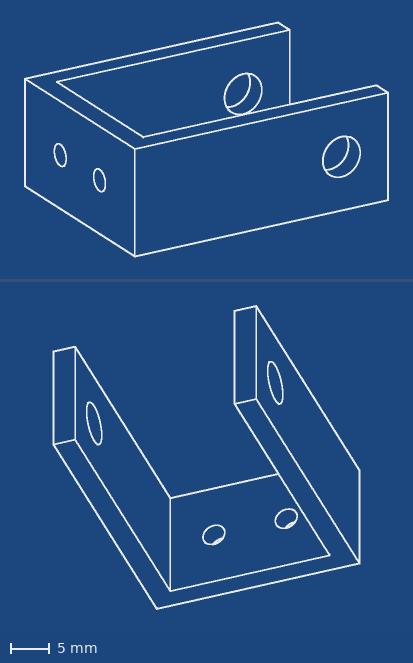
import cadquery as cq

width = 28.0
length = 38.0
height = 15.0
wall = 3.0

mount_diameter = 3.0
mount_spacing = 10.0

pivot_diameter = 5.6
pivot_from_arm_end = 7.0


def bracket_body():
    """U-shaped body with its base wall on -Y and its arms open toward +Y."""
    block = cq.Workplane("XY").box(width, length, height)
    gap = cq.Workplane("XY").box(width - 2 * wall, length, height).translate((0, wall, 0))
    return block.cut(gap)


def mount_holes():
    """Two cylinders along Y, passing through the base wall."""
    return (
        cq.Workplane("XZ")
        .pushPoints([(-mount_spacing / 2, 0), (mount_spacing / 2, 0)])
        .circle(mount_diameter / 2)
        .extrude(length)
    )


def pivot_hole():
    """One cylinder along X, passing through both arms."""
    pivot_y = length / 2 - pivot_from_arm_end
    return (
        cq.Workplane("YZ")
        .center(pivot_y, 0)
        .circle(pivot_diameter / 2)
        .extrude(width, both=True)
    )


result = bracket_body().cut(mount_holes()).cut(pivot_hole())